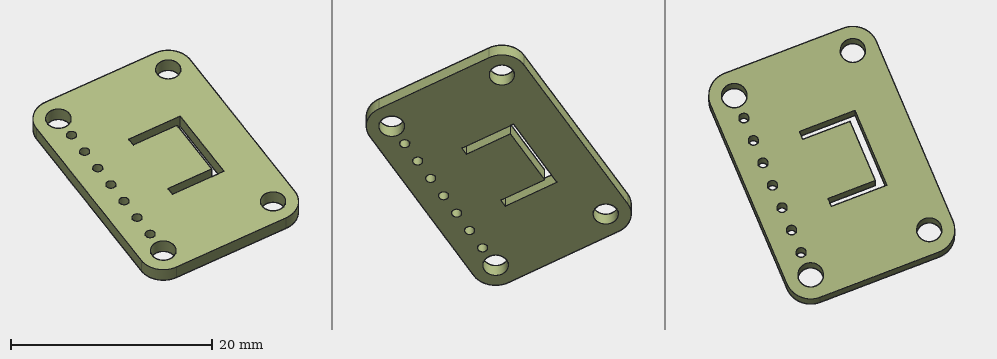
import cadquery as cq

pitch = 2.54
board_length = 10 * pitch
board_width = 7 * pitch
board_thickness = 1.6
corner_radius = pitch

mount_x = 4 * pitch
mount_y = 2.5 * pitch
front_mount_diameter = 2.54
rear_mount_diameter = 2.5

pin_count = 7
pin_diameter = 1.0
pin_row_y = -mount_y

slot_outer_width = 8.48
slot_gap = 0.88
slot_rear_y = 4.2
slot_front_y = -1.75


def make_board():
    """Flat board with rounded corners, resting on Z = 0."""
    board = cq.Workplane("XY").rect(board_length, board_width).extrude(board_thickness)
    return board.edges("|Z").fillet(corner_radius)


def through_holes(centres, diameter):
    """Cylinders as tall as the board, one at each centre."""
    return cq.Workplane("XY").pushPoints(centres).circle(diameter / 2).extrude(board_thickness)


def centred_block(width, front_y, rear_y):
    """Block as tall as the board, centred on X and spanning front_y to rear_y."""
    depth = rear_y - front_y
    middle_y = (rear_y + front_y) / 2
    return cq.Workplane("XY").center(0, middle_y).rect(width, depth).extrude(board_thickness)


def make_slot():
    """U-shaped slot: a rectangular window minus the tongue that stays in it."""
    tongue_width = slot_outer_width - 2 * slot_gap
    window = centred_block(slot_outer_width, slot_front_y, slot_rear_y)
    tongue = centred_block(tongue_width, slot_front_y, slot_rear_y - slot_gap)
    return window.cut(tongue)


front_mounts = [(-mount_x, -mount_y), (mount_x, -mount_y)]
rear_mounts = [(-mount_x, mount_y), (mount_x, mount_y)]
pins = [((i - (pin_count - 1) / 2) * pitch, pin_row_y) for i in range(pin_count)]

result = (
    make_board()
    .cut(through_holes(front_mounts, front_mount_diameter))
    .cut(through_holes(rear_mounts, rear_mount_diameter))
    .cut(through_holes(pins, pin_diameter))
    .cut(make_slot())
)